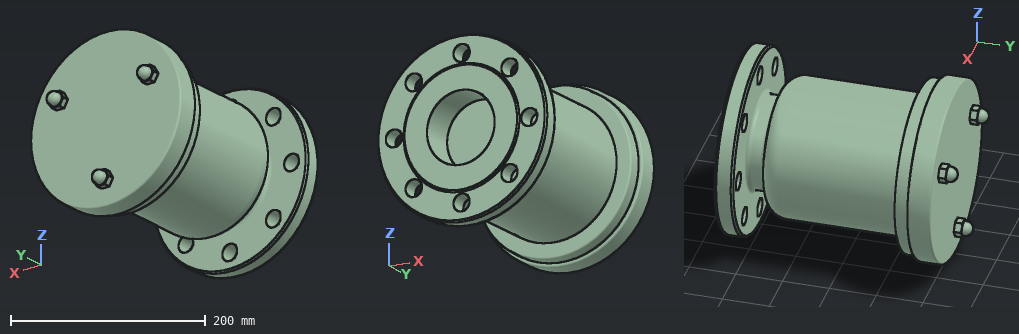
import cadquery as cq
import math

BORE_DIAMETER = 80.0
BORE_DEPTH = 42.0

RAISED_FACE_DIAMETER = 137.0
RAISED_FACE_HEIGHT = 1.5
RAISED_FACE_BEVEL = 2.0

PIPE_FLANGE_DIAMETER = 200.0
PIPE_FLANGE_THICKNESS = 20.5
PIPE_FLANGE_CHAMFER_LENGTH = 2.5
PIPE_FLANGE_CHAMFER_DEPTH = 1.8
BOLT_HOLE_COUNT = 8
BOLT_HOLE_DIAMETER = 19.0
BOLT_CIRCLE_DIAMETER = 160.0

NECK_DIAMETER = 100.0
NECK_LENGTH = 20.0
NECK_FILLET = 5.0

BARREL_DIAMETER = 150.0
BARREL_LENGTH = 150.0
BARREL_FILLET = 20.0

COLLAR_DIAMETER = 185.0
COLLAR_THICKNESS = 15.0

COVER_DIAMETER = 195.0
COVER_THICKNESS = 25.0

RIM_FILLET = 2.0

PIPE_FLANGE_START = RAISED_FACE_HEIGHT
NECK_START = PIPE_FLANGE_START + PIPE_FLANGE_THICKNESS
BARREL_START = NECK_START + NECK_LENGTH
COLLAR_START = BARREL_START + BARREL_LENGTH
COVER_START = COLLAR_START + COLLAR_THICKNESS
COVER_END = COVER_START + COVER_THICKNESS

NUT_COUNT = 3
NUT_CIRCLE_DIAMETER = 135.0
FIRST_NUT_ANGLE = -90.0
NUT_ACROSS_FLATS = 17.0
NUT_ACROSS_CORNERS = NUT_ACROSS_FLATS / math.cos(math.pi / 6)
NUT_HEX_HEIGHT = 8.0
NUT_CHAMFER_ANGLE = 20.0
DOME_DIAMETER = 16.0
DOME_BASE_HEIGHT = 10.0


def plane_at(y):
    """Plane across the axis at station y, with local x, y, z along X, -Z, Y."""
    return cq.Workplane(cq.Plane(origin=(0, y, 0), xDir=(1, 0, 0), normal=(0, 1, 0)))


def disc(diameter, start, length):
    return plane_at(start).circle(diameter / 2).extrude(length)


def make_pipe_flange():
    """Flange with chamfered rims and a raised face bevelled over its whole height."""
    rim_radius = PIPE_FLANGE_DIAMETER / 2
    edge_radius = rim_radius - PIPE_FLANGE_CHAMFER_DEPTH
    raised_radius = RAISED_FACE_DIAMETER / 2
    outline = [
        (0, 0),
        (raised_radius - RAISED_FACE_BEVEL, 0),
        (raised_radius, PIPE_FLANGE_START),
        (edge_radius, PIPE_FLANGE_START),
        (rim_radius, PIPE_FLANGE_START + PIPE_FLANGE_CHAMFER_LENGTH),
        (rim_radius, NECK_START - PIPE_FLANGE_CHAMFER_LENGTH),
        (edge_radius, NECK_START),
        (0, NECK_START),
    ]
    return cq.Workplane("XY").polyline(outline).close().revolve(360, (0, 0, 0), (0, 1, 0))


def make_neck():
    """Revolved neck that flares by a fillet into the flange and into the barrel."""
    neck_radius = NECK_DIAMETER / 2
    flare_radius = neck_radius + NECK_FILLET
    outline = (
        cq.Workplane("XY")
        .moveTo(0, NECK_START)
        .lineTo(flare_radius, NECK_START)
        .radiusArc((neck_radius, NECK_START + NECK_FILLET), NECK_FILLET)
        .lineTo(neck_radius, BARREL_START - NECK_FILLET)
        .radiusArc((flare_radius, BARREL_START), NECK_FILLET)
        .lineTo(0, BARREL_START)
        .close()
    )
    return outline.revolve(360, (0, 0, 0), (0, 1, 0))


def make_barrel():
    barrel = disc(BARREL_DIAMETER, BARREL_START, BARREL_LENGTH)
    return barrel.faces("<Y").edges().fillet(BARREL_FILLET)


def make_collar():
    collar = disc(COLLAR_DIAMETER, COLLAR_START, COLLAR_THICKNESS)
    return collar.faces("<Y").edges().fillet(RIM_FILLET)


def make_cover():
    return disc(COVER_DIAMETER, COVER_START, COVER_THICKNESS).edges().fillet(RIM_FILLET)


def make_bolt_holes():
    return (
        plane_at(PIPE_FLANGE_START)
        .polarArray(BOLT_CIRCLE_DIAMETER / 2, 0, 360, BOLT_HOLE_COUNT)
        .circle(BOLT_HOLE_DIAMETER / 2)
        .extrude(PIPE_FLANGE_THICKNESS)
    )


def make_housing():
    """Flanged housing in one piece with its cover, with a blind bore."""
    housing = make_pipe_flange()
    for section in (make_neck(), make_barrel(), make_collar(), make_cover()):
        housing = housing.union(section)
    bore = disc(BORE_DIAMETER, 0, BORE_DEPTH)
    return housing.cut(bore).cut(make_bolt_holes())


def make_nut(angle):
    """Hexagonal cap nut standing on the cover at the given angle from +X towards +Z."""
    hexagon = plane_at(COVER_END).polygon(6, NUT_ACROSS_CORNERS).extrude(NUT_HEX_HEIGHT)

    corner_overhang = (NUT_ACROSS_CORNERS - NUT_ACROSS_FLATS) / 2
    chamfer_drop = corner_overhang * math.tan(math.radians(NUT_CHAMFER_ANGLE))
    trim = disc(NUT_ACROSS_CORNERS, COVER_END, NUT_HEX_HEIGHT)
    trim = trim.faces(">Y").edges().chamfer(chamfer_drop, corner_overhang)

    dome_base = COVER_END + DOME_BASE_HEIGHT
    dome_collar = disc(DOME_DIAMETER, COVER_END, DOME_BASE_HEIGHT)
    dome_radius = DOME_DIAMETER / 2
    dome = (
        cq.Workplane("XY")
        .moveTo(0, dome_base)
        .lineTo(dome_radius, dome_base)
        .radiusArc((0, dome_base + dome_radius), -dome_radius)
        .close()
        .revolve(360, (0, 0, 0), (0, 1, 0))
    )

    nut = hexagon.intersect(trim).union(dome_collar).union(dome)
    circle_radius = NUT_CIRCLE_DIAMETER / 2
    x = circle_radius * math.cos(math.radians(angle))
    z = circle_radius * math.sin(math.radians(angle))
    return nut.translate((x, 0, z))


housing = make_housing()
nuts = [make_nut(FIRST_NUT_ANGLE + i * 360 / NUT_COUNT) for i in range(NUT_COUNT)]

result = cq.Compound.makeCompound([housing.val(), *[nut.val() for nut in nuts]])